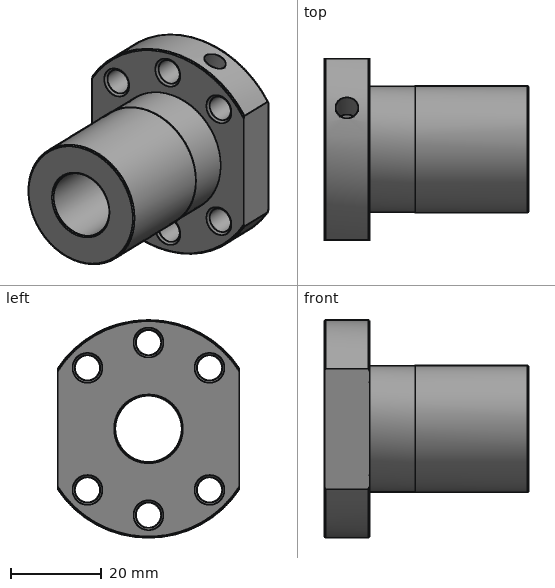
import cadquery as cq
import math

flange_diameter = 48.0
flange_width = 40.0
flange_thickness = 10.0
flange_chamfer = 0.3
total_length = 45.0
body_diameter = 28.0
collar_diameter = 27.85
collar_end = 20.0
body_chamfer = 0.3
bore_diameter = 14.6
bore_chamfer = 0.3
bolt_circle_diameter = 38.0
bolt_hole_diameter = 5.5
bolt_chamfer = 0.55
bolt_angles = (45, 90, 135, 225, 270, 315)
oil_hole_diameter = 5.0
oil_hole_angle = 22.5
oil_hole_depth = 10.0
oil_drill_tip_angle = 118


def cylinder(diameter, start, end):
    """Solid cylinder along X between two stations."""
    return cq.Workplane("YZ", origin=(start, 0, 0)).circle(diameter / 2).extrude(end - start)


def chamfered_hole(diameter, chamfer, length, y=0.0, z=0.0):
    """Cutter along X from the flange face, with a 45 degree chamfer at both ends."""
    radius = diameter / 2
    outer = radius + chamfer
    profile = [
        (0, 0),
        (0, outer),
        (chamfer, radius),
        (length - chamfer, radius),
        (length, outer),
        (length, 0),
    ]
    cutter = cq.Workplane("XY").polyline(profile).close().revolve(360, (0, 0, 0), (1, 0, 0))
    return cutter.translate((0, y, z))


flange = cylinder(flange_diameter, 0, flange_thickness).edges().chamfer(flange_chamfer)
flats = cq.Workplane("XY").box(2 * flange_thickness, flange_width, flange_diameter)
flange = flange.intersect(flats)

collar = cylinder(collar_diameter, 0, collar_end)
body = cylinder(body_diameter, collar_end, total_length).faces(">X").chamfer(body_chamfer)
result = flange.union(collar).union(body)

result = result.cut(chamfered_hole(bore_diameter, bore_chamfer, total_length))

bolt_circle_radius = bolt_circle_diameter / 2
for angle in bolt_angles:
    hole_y = bolt_circle_radius * math.cos(math.radians(angle))
    hole_z = bolt_circle_radius * math.sin(math.radians(angle))
    result = result.cut(
        chamfered_hole(bolt_hole_diameter, bolt_chamfer, flange_thickness, hole_y, hole_z)
    )

oil_hole_radius = oil_hole_diameter / 2
oil_tip_length = oil_hole_radius / math.tan(math.radians(oil_drill_tip_angle / 2))
oil_hole_floor = flange_diameter / 2 - oil_hole_depth
oil_hole_top = flange_diameter / 2 + oil_hole_radius
oil_hole_profile = [
    (0, oil_hole_floor - oil_tip_length),
    (oil_hole_radius, oil_hole_floor),
    (oil_hole_radius, oil_hole_top),
    (0, oil_hole_top),
]
oil_hole = (
    cq.Workplane("XZ")
    .polyline(oil_hole_profile)
    .close()
    .revolve(360, (0, 0, 0), (0, 1, 0))
    .translate((flange_thickness / 2, 0, 0))
    .rotate((0, 0, 0), (1, 0, 0), -oil_hole_angle)
)
result = result.cut(oil_hole)